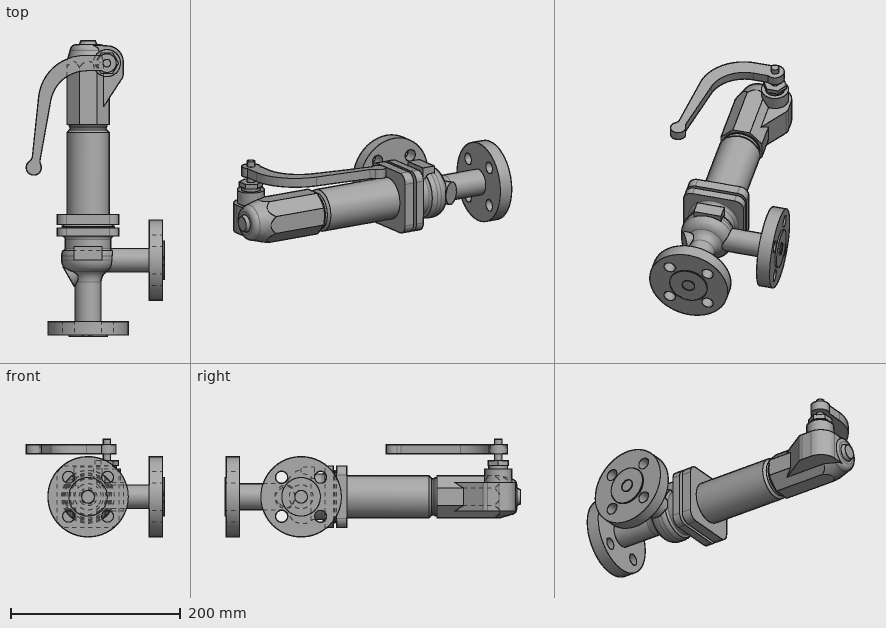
import cadquery as cq
import math


FLANGE_FACE = 90.0
FLANGE_DIAMETER = 95.0
FLANGE_THICKNESS = 16.0
INLET_RAISED_HEIGHT = 1.5
OUTLET_RAISED_HEIGHT = 2.0
RAISED_DIAMETER = 45.5
BOLT_CIRCLE = 65.0
BOLT_HOLE_DIAMETER = 14.0
BOLT_COUNT = 4
BORE_DIAMETER = 15.0
BORE_DEPTH = 1.0
OUTLET_PIPE_DIAMETER = 28.0

INLET_PIPE_RADIUS = 15.5
NECK_BOTTOM = -25.5
NECK_TOP = -13.5
NECK_TOP_RADIUS = 22.0
BULGE_RADIUS = 31.3
BULGE_WAIST_HEIGHT = 5.0
BODY_RADIUS = 27.0
BULGE_TOP = 11.5
BODY_BLEND_RADIUS = 2.6
COLLAR_HEIGHT = 4.0
COLLAR_RADIUS = 30.5

SQUARE_SIZE = 73.0
SQUARE_CORNER_RADIUS = 11.0
LOWER_SQUARE = (28.4, 38.2)
UPPER_SQUARE = (42.0, 54.0)
GASKET_RADIUS = 31.0
GASKET_SPIGOT_RADIUS = 28.0
GASKET_BOTTOM = 39.3
GASKET_TOP = 40.0

BONNET_RADIUS = 25.0
BONNET_TOP = 153.8
BONNET_CHAMFER = 3.0
GROOVE_RADIUS = 21.0
GROOVE_BOTTOM = 155.8
GROOVE_TOP = 158.1
CAP_COLLAR_RADIUS = 22.5
CAP_BOTTOM = 160.0
CAP_SIDES = 8
CAP_ACROSS_FLATS = 50.0
CAP_CORNER_RADIUS = CAP_ACROSS_FLATS / 2 / math.cos(math.pi / CAP_SIDES)
CAP_CONE_BOTTOM = 227.5
DOME_BOTTOM = 247.6
DOME_BOTTOM_RADIUS = 21.2
DOME_TOP = 254.4
DOME_TOP_RADIUS = 14.0
DOME_MID_RADIUS = 19.0
DOME_MID_HEIGHT = 252.3
PLUG_BOTTOM_RADIUS = 10.5
PLUG_TOP_RADIUS = 8.5
VALVE_TOP = 259.0

PAD_WIDTH = 33.0
PAD_LENGTH = 16.0
PAD_TOP = 35.0

DRAIN_DIAMETER = 26.8
DRAIN_ANGLE = 210.0
DRAIN_END_X = -23.0
DRAIN_END_Y = -19.3

SHAFT_X = 22.2
SHAFT_Y = 232.5
SHAFT_DIAMETER = 9.0
SHAFT_TOP = 68.0
BRACKET_HALF_HEIGHT = 17.0
BRACKET_RADIUS = 19.5
BRACKET_TOP = 253.0
BRACKET_STRAIGHT_END = 216.8
BRACKET_TIP_X = 18.3
BRACKET_TIP_Y = 181.0
BRACKET_BEND_RADIUS = 10.0
BOSS_DIAMETER = 32.0
BOSS_TOP = 33.0
GLAND_NECK_DIAMETER = 22.4
NUT_BOTTOM = 36.8
NUT_TOP = 42.6
NUT_SIDES = 6
NUT_ACROSS_FLATS = 24.0

LEVER_BOTTOM = 50.5
LEVER_TOP = 61.5
LEVER_EYE_RADIUS = 11.0
LEVER_ARM_WIDTH = 18.0
LEVER_KNOB_RADIUS = 9.0
LEVER_KNOB_X = -64.03
LEVER_KNOB_Y = 109.3
LEVER_OUTER_RADIUS = 54.5
LEVER_OUTER_CENTER_X = -4.2
LEVER_OUTER_TILT = 6.0
LEVER_INNER_RADIUS = 43.0
LEVER_INNER_CENTER_X = -1.6
LEVER_INNER_TILT = 10.2
LEVER_NECK_Y = 113.0
LEVER_NECK_FILLET = 8.0


def pipe_flange(raised_height):
    """Flange on the XY plane with its raised face at Z = 0 and its body above it."""
    raised_face = cq.Workplane("XY").circle(RAISED_DIAMETER / 2).extrude(raised_height)
    disc = (
        cq.Workplane("XY", origin=(0, 0, raised_height))
        .circle(FLANGE_DIAMETER / 2)
        .extrude(FLANGE_THICKNESS)
        .faces("<Z")
        .workplane()
        .polarArray(BOLT_CIRCLE / 2, 180 / BOLT_COUNT, 360, BOLT_COUNT)
        .hole(BOLT_HOLE_DIAMETER)
    )
    bore = cq.Workplane("XY").circle(BORE_DIAMETER / 2).extrude(BORE_DEPTH)
    return raised_face.union(disc).cut(bore)


def make_inlet_flange():
    """Inlet flange facing -Y."""
    return (
        pipe_flange(INLET_RAISED_HEIGHT)
        .rotate((0, 0, 0), (1, 0, 0), -90)
        .translate((0, -FLANGE_FACE, 0))
    )


def make_outlet():
    """Outlet pipe along +X with its flange facing +X."""
    flange = (
        pipe_flange(OUTLET_RAISED_HEIGHT)
        .rotate((0, 0, 0), (0, 1, 0), -90)
        .translate((FLANGE_FACE, 0, 0))
    )
    pipe_length = FLANGE_FACE - OUTLET_RAISED_HEIGHT
    pipe = cq.Workplane("YZ").circle(OUTLET_PIPE_DIAMETER / 2).extrude(pipe_length)
    return flange.union(pipe)


def make_body():
    """Inlet pipe, rounded body and body neck, turned about the valve axis."""
    pipe_bottom = -FLANGE_FACE + INLET_RAISED_HEIGHT
    square_bottom = LOWER_SQUARE[0]
    bulge_depth = BULGE_RADIUS - NECK_TOP_RADIUS
    bulge_arc_radius = (bulge_depth**2 + NECK_TOP**2) / (2 * bulge_depth)
    profile = (
        cq.Workplane("XY")
        .moveTo(0, pipe_bottom)
        .lineTo(INLET_PIPE_RADIUS, pipe_bottom)
        .lineTo(INLET_PIPE_RADIUS, NECK_BOTTOM)
        .tangentArcPoint((NECK_TOP_RADIUS, NECK_TOP), relative=False)
        .radiusArc((BULGE_RADIUS, 0), -bulge_arc_radius)
        .lineTo(BULGE_RADIUS, BULGE_WAIST_HEIGHT)
        .tangentArcPoint((BODY_RADIUS + BODY_BLEND_RADIUS, BULGE_TOP), relative=False)
        .radiusArc((BODY_RADIUS, BULGE_TOP + BODY_BLEND_RADIUS), BODY_BLEND_RADIUS)
        .lineTo(BODY_RADIUS, square_bottom - COLLAR_HEIGHT)
        .tangentArcPoint((COLLAR_RADIUS, square_bottom), relative=False)
        .lineTo(0, square_bottom)
        .close()
    )
    return profile.revolve(360, (0, 0, 0), (0, 1, 0))


def make_square_flange(heights):
    """Square flange with rounded corners spanning a pair of heights."""
    bottom, top = heights
    return (
        cq.Workplane("XZ", origin=(0, bottom, 0))
        .rect(SQUARE_SIZE, SQUARE_SIZE)
        .extrude(bottom - top)
        .edges("|Y")
        .fillet(SQUARE_CORNER_RADIUS)
    )


def make_gasket():
    """Bevelled gasket disc between the square flanges."""
    return (
        cq.Workplane("XY")
        .moveTo(0, LOWER_SQUARE[1])
        .lineTo(GASKET_SPIGOT_RADIUS, LOWER_SQUARE[1])
        .lineTo(GASKET_RADIUS, GASKET_BOTTOM)
        .lineTo(GASKET_RADIUS, GASKET_TOP)
        .lineTo(GASKET_SPIGOT_RADIUS, UPPER_SQUARE[0])
        .lineTo(0, UPPER_SQUARE[0])
        .close()
        .revolve(360, (0, 0, 0), (0, 1, 0))
    )


def make_bonnet():
    """Cylindrical bonnet, chamfered at the top, and the grooved neck under the cap."""
    shoulder = BONNET_RADIUS - BONNET_CHAMFER
    return (
        cq.Workplane("XY")
        .moveTo(0, UPPER_SQUARE[1])
        .lineTo(BONNET_RADIUS, UPPER_SQUARE[1])
        .lineTo(BONNET_RADIUS, BONNET_TOP - BONNET_CHAMFER)
        .lineTo(shoulder, BONNET_TOP)
        .lineTo(GROOVE_RADIUS, GROOVE_BOTTOM)
        .lineTo(CAP_COLLAR_RADIUS, GROOVE_TOP)
        .lineTo(CAP_COLLAR_RADIUS, CAP_BOTTOM)
        .lineTo(0, CAP_BOTTOM)
        .close()
        .revolve(360, (0, 0, 0), (0, 1, 0))
    )


def make_cap():
    """Octagonal cap trimmed by a turned cone and dome, with a small plug on top."""
    prism = (
        cq.Workplane("XZ", origin=(0, CAP_BOTTOM, 0))
        .polygon(CAP_SIDES, CAP_ACROSS_FLATS, circumscribed=True)
        .extrude(CAP_BOTTOM - VALVE_TOP)
    )
    envelope = (
        cq.Workplane("XY")
        .moveTo(0, CAP_BOTTOM)
        .lineTo(CAP_CORNER_RADIUS, CAP_BOTTOM)
        .lineTo(CAP_CORNER_RADIUS, CAP_CONE_BOTTOM)
        .lineTo(DOME_BOTTOM_RADIUS, DOME_BOTTOM)
        .threePointArc((DOME_MID_RADIUS, DOME_MID_HEIGHT), (DOME_TOP_RADIUS, DOME_TOP))
        .lineTo(PLUG_BOTTOM_RADIUS, DOME_TOP)
        .lineTo(PLUG_TOP_RADIUS, VALVE_TOP)
        .lineTo(0, VALVE_TOP)
        .close()
        .revolve(360, (0, 0, 0), (0, 1, 0))
    )
    return prism.intersect(envelope)


def make_pad():
    """Flat pad standing on the body for the name plate."""
    return cq.Workplane("XY").box(PAD_WIDTH, PAD_LENGTH, PAD_TOP, centered=(True, False, False))


def make_drain():
    """Oblique drain stub running from its flat end back into the body."""
    angle = math.radians(DRAIN_ANGLE)
    outward = (math.cos(angle), math.sin(angle), 0)
    length = -DRAIN_END_X
    plane = cq.Plane(origin=(DRAIN_END_X, DRAIN_END_Y, 0), xDir=(0, 0, 1), normal=outward)
    return cq.Workplane(plane).circle(DRAIN_DIAMETER / 2).extrude(-length)


def make_bracket():
    """Side bracket of the cap that carries the lever shaft."""
    outer_x = SHAFT_X + BRACKET_RADIUS
    plate = (
        cq.Workplane("XY", origin=(0, 0, -BRACKET_HALF_HEIGHT))
        .moveTo(0, BRACKET_TOP)
        .lineTo(SHAFT_X, BRACKET_TOP)
        .radiusArc((outer_x, BRACKET_TOP - BRACKET_RADIUS), BRACKET_RADIUS)
        .lineTo(outer_x, BRACKET_STRAIGHT_END)
        .lineTo(BRACKET_TIP_X, BRACKET_TIP_Y)
        .lineTo(0, BRACKET_TIP_Y)
        .close()
        .extrude(2 * BRACKET_HALF_HEIGHT)
    )
    bend = cq.selectors.NearestToPointSelector((outer_x, BRACKET_STRAIGHT_END, 0))
    return plate.edges(bend).fillet(BRACKET_BEND_RADIUS)


def make_shaft():
    """Round boss, gland neck, hexagon nut and lever shaft on one axis."""
    base = cq.Workplane("XY", origin=(SHAFT_X, SHAFT_Y, 0))
    boss = base.circle(BOSS_DIAMETER / 2).extrude(BOSS_TOP)
    neck = base.circle(GLAND_NECK_DIAMETER / 2).extrude(NUT_BOTTOM)
    nut = (
        base.transformed(offset=(0, 0, NUT_BOTTOM), rotate=(0, 0, 90))
        .polygon(NUT_SIDES, NUT_ACROSS_FLATS, circumscribed=True)
        .extrude(NUT_TOP - NUT_BOTTOM)
    )
    shaft = base.circle(SHAFT_DIAMETER / 2).extrude(SHAFT_TOP)
    return boss.union(neck).union(nut).union(shaft)


def lever_edge(center_x, start_y, radius, tilt):
    """Middle and end of a lever bend, and where its straight run reaches the knob neck."""
    center_y = start_y - radius
    end_angle = math.radians(180 - tilt)
    mid_angle = (math.pi / 2 + end_angle) / 2
    middle = (center_x + radius * math.cos(mid_angle), center_y + radius * math.sin(mid_angle))
    end = (center_x + radius * math.cos(end_angle), center_y + radius * math.sin(end_angle))
    neck_x = end[0] - (end[1] - LEVER_NECK_Y) * math.tan(math.radians(tilt))
    return middle, end, (neck_x, LEVER_NECK_Y)


def make_lever():
    """Curved lever with an eye on the shaft and a round knob at its free end."""
    outer_y = SHAFT_Y + LEVER_ARM_WIDTH / 2
    inner_y = SHAFT_Y - LEVER_ARM_WIDTH / 2
    thickness = LEVER_TOP - LEVER_BOTTOM
    outer_mid, outer_end, outer_neck = lever_edge(
        LEVER_OUTER_CENTER_X, outer_y, LEVER_OUTER_RADIUS, LEVER_OUTER_TILT
    )
    inner_mid, inner_end, inner_neck = lever_edge(
        LEVER_INNER_CENTER_X, inner_y, LEVER_INNER_RADIUS, LEVER_INNER_TILT
    )
    base = cq.Workplane("XY", origin=(0, 0, LEVER_BOTTOM))
    arm = (
        base.moveTo(SHAFT_X, outer_y)
        .lineTo(LEVER_OUTER_CENTER_X, outer_y)
        .threePointArc(outer_mid, outer_end)
        .lineTo(*outer_neck)
        .lineTo(*inner_neck)
        .lineTo(*inner_end)
        .threePointArc(inner_mid, (LEVER_INNER_CENTER_X, inner_y))
        .lineTo(SHAFT_X, inner_y)
        .close()
        .extrude(thickness)
    )
    eye = base.center(SHAFT_X, SHAFT_Y).circle(LEVER_EYE_RADIUS).extrude(thickness)
    knob = base.center(LEVER_KNOB_X, LEVER_KNOB_Y).circle(LEVER_KNOB_RADIUS).extrude(thickness)
    lever = arm.union(knob)
    for neck_x, neck_y in (outer_neck, inner_neck):
        corner = (neck_x, neck_y + LEVER_KNOB_RADIUS / 2, LEVER_BOTTOM + thickness / 2)
        lever = lever.edges(cq.selectors.NearestToPointSelector(corner)).fillet(LEVER_NECK_FILLET)
    return lever.union(eye)


result = (
    make_body()
    .union(make_inlet_flange())
    .union(make_outlet())
    .union(make_pad())
    .union(make_drain())
    .union(make_square_flange(LOWER_SQUARE))
    .union(make_gasket())
    .union(make_square_flange(UPPER_SQUARE))
    .union(make_bonnet())
    .union(make_cap())
    .union(make_bracket())
    .union(make_shaft())
    .union(make_lever())
)